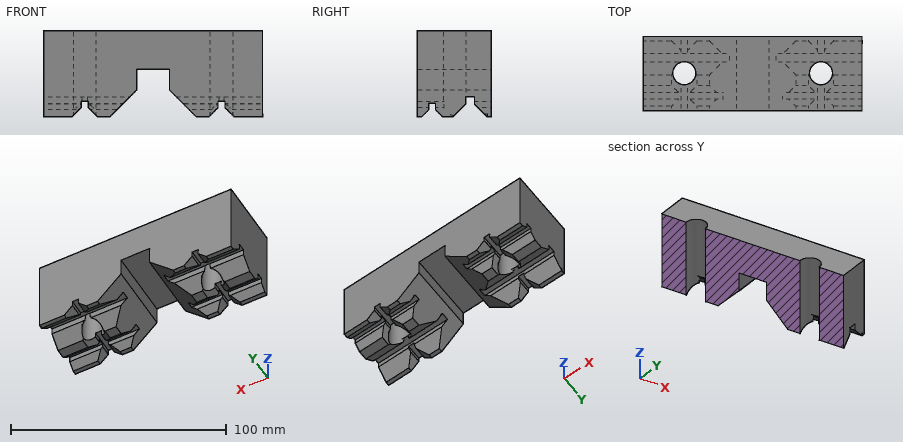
import cadquery as cq

total_length = 101.6
tab_thickness = 0.1
block_length = total_length - tab_thickness
block_width = 34.5
block_height = 40.0

tab_width = 1.5
tab_height = 1.4
tab_edge_distance = 1.8

hole_diameter = 10.6
hole_offset = 31.7
hole_y = 0.2

cross_grooves = [
    (0.0, 40.0, 15.0, 22.0),
    (-hole_offset, 11.8, 3.1, 7.1),
    (hole_offset, 11.8, 3.1, 7.1),
]
lengthwise_grooves = [
    (7.3, 15.7, 4.0, 9.2),
    (-10.3, 9.7, 3.0, 6.2),
]


def groove_cutter(plane, centre, mouth_width, slot_width, depth):
    """Groove tool that runs right through the block, drawn on the given plane and centred on it."""
    half_mouth = mouth_width / 2
    half_slot = slot_width / 2
    flank_height = half_mouth - half_slot
    profile = [
        (centre - half_mouth, 0),
        (centre - half_slot, flank_height),
        (centre - half_slot, depth),
        (centre + half_slot, depth),
        (centre + half_slot, flank_height),
        (centre + half_mouth, 0),
    ]
    half_tool_length = total_length
    return cq.Workplane(plane).polyline(profile).close().extrude(half_tool_length, both=True)


def end_tab():
    """Thin tab standing on the +X end face; the groove trims its lower corner."""
    tab_centre_y = block_width / 2 - tab_edge_distance - tab_width / 2
    tab = cq.Workplane("XY").box(tab_thickness, tab_width, tab_height, centered=(False, True, False))
    return tab.translate((block_length / 2, tab_centre_y, 0))


block = cq.Workplane("XY").box(block_length, block_width, block_height, centered=(True, True, False))
result = block.union(end_tab())

for groove in cross_grooves:
    result = result.cut(groove_cutter("XZ", *groove))
for groove in lengthwise_grooves:
    result = result.cut(groove_cutter("YZ", *groove))

result = (
    result.faces(">Z")
    .workplane(origin=(0, 0, block_height))
    .pushPoints([(-hole_offset, hole_y), (hole_offset, hole_y)])
    .hole(hole_diameter)
)